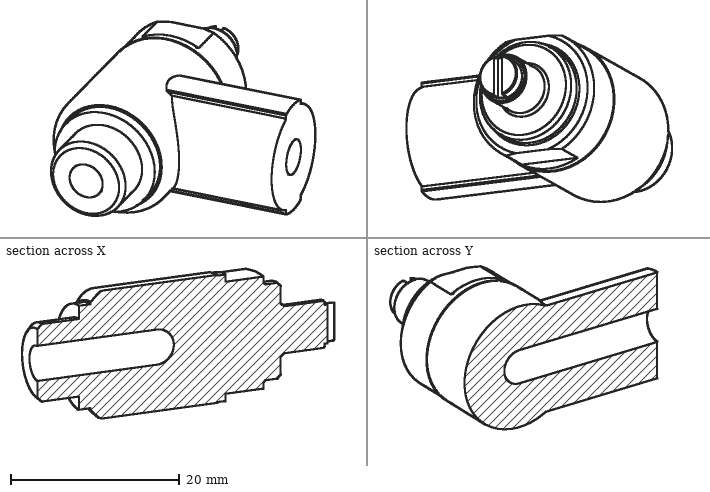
import cadquery as cq
import math

total_length = 39.2

spigot_radius = 9.72 / 2
spigot_end_radius = 8.6 / 2
spigot_chamfer_length = 0.63
spigot_length = 5.45
collar_radius = 13.0 / 2
collar_end = 6.98

body_radius = 16.0 / 2
cone_start_radius = 6.75
cone_blend_radius = 1.05
body_end = 23.6

cap_radius = 15.8 / 2
cap_chamfer = 0.6
cap_end = 29.67
flat_start = 24.7
across_flats = 14.0

ring_radius = 12.0 / 2
ring_foot = 0.25
ring_chamfer = 0.47
ring_end = 31.95
stem_radius = 5.9 / 2
stem_foot_radius = 3.3
stem_foot_length = 0.47
stem_chamfer = 0.2
stem_end = 37.7
tip_radius = 4.9 / 2
tip_chamfer = 0.1
slot_width = 1.1
slot_depth = 1.15

branch_radius = collar_radius
branch_y = 15.7
branch_end = 20.0
branch_chamfer_length = 0.27
branch_chamfer_depth = 0.08
rib_radius = 7.0
rib_width = 4.35
rib_edge_chamfer = 0.1

bore_radius = 4.3 / 2


def make_turned_body():
    """Revolve the half profile of all the round steps about the Y axis."""
    cone_corner_y = collar_end + body_radius - cone_start_radius
    blend_tangent = cone_blend_radius * math.tan(math.pi / 8)
    blend_leg = blend_tangent * math.sqrt(0.5)
    blend_end_y = cone_corner_y + blend_tangent
    blend_center_x = body_radius - cone_blend_radius
    blend_middle = (
        blend_center_x + cone_blend_radius * math.cos(math.pi / 8),
        blend_end_y - cone_blend_radius * math.sin(math.pi / 8),
    )
    return (
        cq.Workplane("XY")
        .lineTo(spigot_end_radius, 0)
        .lineTo(spigot_radius, spigot_chamfer_length)
        .lineTo(spigot_radius, spigot_length)
        .lineTo(collar_radius, spigot_length)
        .lineTo(collar_radius, collar_end)
        .lineTo(cone_start_radius, collar_end)
        .lineTo(body_radius - blend_leg, cone_corner_y - blend_leg)
        .threePointArc(blend_middle, (body_radius, blend_end_y))
        .lineTo(body_radius, body_end)
        .lineTo(cap_radius, body_end)
        .lineTo(cap_radius, cap_end - cap_chamfer)
        .lineTo(cap_radius - cap_chamfer, cap_end)
        .lineTo(ring_radius + ring_foot, cap_end)
        .lineTo(ring_radius, cap_end + ring_foot)
        .lineTo(ring_radius, ring_end - ring_chamfer)
        .lineTo(ring_radius - ring_chamfer, ring_end)
        .lineTo(stem_foot_radius, ring_end)
        .lineTo(stem_radius, ring_end + stem_foot_length)
        .lineTo(stem_radius, stem_end - stem_chamfer)
        .lineTo(stem_radius - stem_chamfer, stem_end)
        .lineTo(tip_radius, stem_end)
        .lineTo(tip_radius, total_length - tip_chamfer)
        .lineTo(tip_radius - tip_chamfer, total_length)
        .lineTo(0, total_length)
        .close()
        .revolve(360, (0, 0, 0), (0, 1, 0))
    )


def x_cylinder(radius):
    """Cylinder on the branch axis, from the main axis to the branch end."""
    return cq.Workplane("YZ").center(branch_y, 0).circle(radius).extrude(branch_end)


def make_branch():
    """Round branch with a slightly eased end and a curved rib above and below."""
    tube = x_cylinder(branch_radius).faces(">X").edges().chamfer(branch_chamfer_length, branch_chamfer_depth)
    rib_band = (
        cq.Workplane("YZ")
        .center(branch_y, 0)
        .rect(rib_width, 2 * rib_radius)
        .extrude(branch_end)
    )
    ribs = x_cylinder(rib_radius).intersect(rib_band).edges("|X").chamfer(rib_edge_chamfer)
    return tube.union(ribs)


def make_flat_cutters():
    """Blocks that leave the two parallel wrench flats on the cap."""
    cutters = cq.Workplane("XY")
    cutter_length = cap_end - flat_start
    for side in (-1, 1):
        cutter = cq.Workplane("XY").box(2 * cap_radius, cutter_length, cap_radius)
        cutter_z = side * (across_flats + cap_radius) / 2
        cutters = cutters.add(cutter.translate((0, flat_start + cutter_length / 2, cutter_z)))
    return cutters.combine()


def make_slot():
    """Screwdriver slot through the tip, running along Z."""
    slot = cq.Workplane("XY").box(slot_width, slot_depth, 2 * tip_radius)
    return slot.translate((0, total_length - slot_depth / 2, 0))


def make_round_ended_bore():
    """Bore along Y from the spigot, with a hemispherical end on the branch axis."""
    return (
        cq.Workplane("XY")
        .lineTo(bore_radius, 0)
        .lineTo(bore_radius, branch_y)
        .radiusArc((0, branch_y + bore_radius), -bore_radius)
        .close()
        .revolve(360, (0, 0, 0), (0, 1, 0))
    )


result = (
    make_turned_body()
    .cut(make_flat_cutters())
    .cut(make_slot())
    .union(make_branch())
    .cut(make_round_ended_bore())
    .cut(x_cylinder(bore_radius))
)